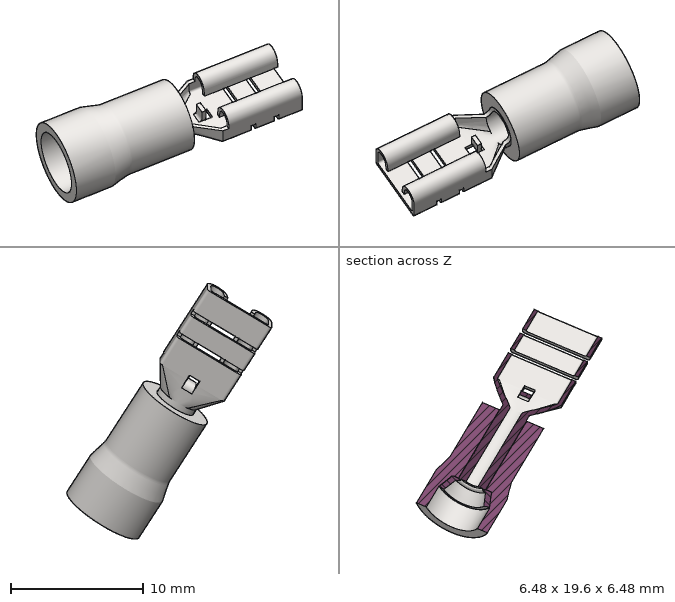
import cadquery as cq
import math


housing_length = 10.35
mouth_radius = 6.48 / 2
grip_radius = 5.74 / 2
mouth_length = 3.37
taper_end = 4.78
taper_blend_end = 5.02
mouth_bore_radius = 2.45

funnel_start = 2.02
funnel_wall = 0.37
funnel_tip_radius = 2.05
funnel_lip_radius = 1.7
funnel_throat_radius = 1.47
funnel_angle = math.radians(17)
funnel_lip_start = funnel_start + (funnel_tip_radius - funnel_lip_radius) / math.tan(funnel_angle)
funnel_lip_rounding = funnel_lip_radius - funnel_throat_radius
funnel_end = funnel_lip_start + funnel_lip_rounding
outer_tip_radius = funnel_tip_radius + funnel_wall * math.cos(funnel_angle)
outer_tip_start = funnel_start + funnel_wall * math.sin(funnel_angle)
outer_end_radius = outer_tip_radius - (funnel_end - outer_tip_start) * math.tan(funnel_angle)

sheet = 0.35
barrel_radius = 1.63
barrel_bore_radius = barrel_radius - sheet
barrel_start = funnel_end
seam_width = 0.08
neck_start = 10.32
neck_fillet = 0.5
neck_end = neck_start + neck_fillet
neck_breaks = (0, 20, 60, 120, 160, 180)

channel_start = 12.77
curl_start = 13.28
tab_end = 19.59
tab_half_width = 5.74 / 2
tab_bottom = -barrel_radius
floor_top = tab_bottom + sheet
side_wall = 0.31
outer_corner = 0.24
inner_corner = 0.18
shoulder_top = -0.27

curl_radius = 0.88
curl_inner_radius = curl_radius - side_wall
lip_lean = math.radians(8)
lip_length = 0.59

slot_width = 0.4
slot_top = -1.02
slot_starts = (15.22, 17.2)

tongue_half_width = 0.45
tongue_face = 12.26
tongue_top = shoulder_top
tongue_bend = 0.25
tongue_start = tongue_face - tongue_bend
window_end = 13.16


def section_at(y):
    """Workplane across the part at Y = y, with local axes X and Z."""
    return cq.Workplane("XZ", origin=(0, y, 0))


def extrude_along_y(sketch, length):
    """The XZ plane faces -Y, so a length along +Y is negative."""
    return sketch.extrude(-length)


def cylinder(radius, start, end):
    return extrude_along_y(section_at(start).circle(radius), end - start)


def box(x_range, y_range, z_range):
    size = [high - low for low, high in (x_range, y_range, z_range)]
    corner = (x_range[0], y_range[0], z_range[0])
    return cq.Workplane("XY").box(*size, centered=False).translate(corner)


def revolve_about_y(profile):
    """Turn a closed (radius, Y) profile about the Y axis."""
    return profile.close().revolve(360, (0, 0, 0), (0, 1, 0))


def make_housing():
    blend_length = taper_blend_end - taper_end
    taper_slope = (mouth_radius - grip_radius) / (taper_end - mouth_length + blend_length / 2)
    blend_radius = grip_radius + taper_slope * blend_length / 2
    profile = (
        cq.Workplane("XY")
        .moveTo(barrel_radius, housing_length)
        .lineTo(grip_radius, housing_length)
        .lineTo(grip_radius, taper_blend_end)
        .tangentArcPoint((blend_radius, taper_end), relative=False)
        .lineTo(mouth_radius, mouth_length)
        .lineTo(mouth_radius, 0)
        .lineTo(mouth_bore_radius, 0)
        .lineTo(mouth_bore_radius, outer_tip_start)
        .lineTo(outer_tip_radius, outer_tip_start)
        .lineTo(outer_end_radius, funnel_end)
        .lineTo(barrel_radius, funnel_end)
    )
    return revolve_about_y(profile)


def make_funnel():
    profile = (
        cq.Workplane("XY")
        .moveTo(funnel_tip_radius, funnel_start)
        .lineTo(outer_tip_radius, outer_tip_start)
        .lineTo(outer_end_radius, funnel_end)
        .lineTo(funnel_throat_radius, funnel_end)
        .radiusArc((funnel_lip_radius, funnel_lip_start), -funnel_lip_rounding)
    )
    return revolve_about_y(profile)


def channel_path(sketch, half_width, bottom, corner, direction):
    """Draw the U outline from one top edge to the other; direction +1 starts at +X."""
    side = direction * half_width
    floor = direction * (half_width - corner)
    diagonal = corner * (1 - math.sqrt(0.5))
    middle_x = direction * (half_width - diagonal)
    return (
        sketch.lineTo(side, bottom + corner)
        .threePointArc((middle_x, bottom + diagonal), (floor, bottom))
        .lineTo(-floor, bottom)
        .threePointArc((-middle_x, bottom + diagonal), (-side, bottom + corner))
        .lineTo(-side, shoulder_top)
    )


def channel_section(y):
    inner_half_width = tab_half_width - side_wall
    sketch = section_at(y).moveTo(tab_half_width, shoulder_top)
    sketch = channel_path(sketch, tab_half_width, tab_bottom, outer_corner, 1)
    sketch = sketch.lineTo(-inner_half_width, shoulder_top)
    return channel_path(sketch, inner_half_width, floor_top, inner_corner, -1).close()


def half_ring_path(sketch, radius, direction):
    """Draw the lower half circle in five arcs, one for each part of the U outline."""

    def on_circle(degrees):
        angle = math.radians(degrees)
        return (direction * radius * math.cos(angle), -radius * math.sin(angle))

    for start, end in zip(neck_breaks, neck_breaks[1:]):
        sketch = sketch.threePointArc(on_circle((start + end) / 2), on_circle(end))
    return sketch


def half_ring_section(y):
    sketch = half_ring_path(section_at(y).moveTo(barrel_radius, 0), barrel_radius, 1)
    sketch = sketch.lineTo(-barrel_bore_radius, 0)
    return half_ring_path(sketch, barrel_bore_radius, -1).close()


def make_barrel():
    """Rolled tube with an open seam on top, cut away to its lower half at the neck."""
    tube = cylinder(barrel_radius, barrel_start, neck_end)
    tube = tube.cut(cylinder(barrel_bore_radius, barrel_start, neck_end))
    seam = box(
        (-seam_width / 2, seam_width / 2), (barrel_start, neck_end), (0, barrel_radius)
    )
    cutaway = (
        cq.Workplane("YZ")
        .moveTo(neck_end, 0)
        .radiusArc((neck_start, neck_fillet), neck_fillet)
        .lineTo(neck_start, barrel_radius)
        .lineTo(neck_end, barrel_radius)
        .close()
        .extrude(barrel_radius, both=True)
    )
    return tube.cut(seam).cut(cutaway)


def make_transition():
    """Ruled sheet that opens from the half-round neck into the channel."""
    sections = [half_ring_section(neck_end), channel_section(channel_start)]
    return cq.Workplane(cq.Solid.makeLoft([s.val() for s in sections], True))


def make_curl():
    """Side wall on +X, rolled inward over the blade and ending in a straight lip."""
    centre_x = tab_half_width - curl_radius
    end_angle = math.pi - lip_lean
    lip_direction = (-math.sin(lip_lean) * lip_length, -math.cos(lip_lean) * lip_length)

    def arc_end(radius):
        return (centre_x + radius * math.cos(end_angle), radius * math.sin(end_angle))

    def lip_end(radius):
        return tuple(a + b for a, b in zip(arc_end(radius), lip_direction))

    sketch = (
        section_at(curl_start)
        .moveTo(tab_half_width, shoulder_top)
        .lineTo(tab_half_width, 0)
        .threePointArc((centre_x, curl_radius), arc_end(curl_radius))
        .lineTo(*lip_end(curl_radius))
        .lineTo(*lip_end(curl_inner_radius))
        .lineTo(*arc_end(curl_inner_radius))
        .threePointArc((centre_x, curl_inner_radius), (tab_half_width - side_wall, 0))
        .lineTo(tab_half_width - side_wall, shoulder_top)
        .close()
    )
    return extrude_along_y(sketch, tab_end - curl_start)


def make_tongue():
    """Strip of the floor bent up at right angles as a wire stop."""
    outer_bend = tongue_bend + sheet
    return (
        cq.Workplane("YZ")
        .moveTo(tongue_start, tab_bottom)
        .radiusArc((tongue_face + sheet, tab_bottom + outer_bend), -outer_bend)
        .lineTo(tongue_face + sheet, tongue_top)
        .lineTo(tongue_face, tongue_top)
        .lineTo(tongue_face, floor_top + tongue_bend)
        .radiusArc((tongue_start, floor_top), tongue_bend)
        .close()
        .extrude(tongue_half_width, both=True)
    )


def make_terminal():
    channel = extrude_along_y(channel_section(channel_start), tab_end - channel_start)
    curl = make_curl()
    terminal = make_barrel().union(make_transition()).union(channel)
    terminal = terminal.union(curl).union(curl.mirror("YZ"))

    for start in slot_starts:
        slot = box(
            (-tab_half_width, tab_half_width), (start, start + slot_width), (tab_bottom, slot_top)
        )
        terminal = terminal.cut(slot)

    window = box(
        (-tongue_half_width, tongue_half_width), (tongue_start, window_end), (tab_bottom, tongue_top)
    )
    return terminal.cut(window).union(make_tongue())


housing = make_housing()
funnel = make_funnel()
terminal = make_terminal()

result = cq.Compound.makeCompound([housing.val(), funnel.val(), terminal.val()])